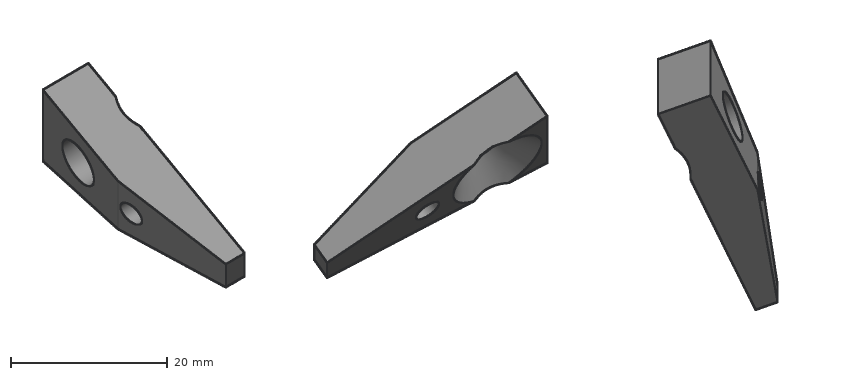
import cadquery as cq

length = 33.6
thickness = 7.25
root_height = 14.8
tip_height = 4.8
tip_thickness = 3.02
flat_length = 16.13

large_hole_x = 7.6
large_hole_diameter = 6.8
small_hole_x = 18.28
small_hole_diameter = 3.5

countersink_diameter = 13.47
countersink_depth = 4.03


def tapered_body():
    """Intersect the side taper with the thickness profile."""
    side_taper = (
        cq.Workplane("XZ")
        .polyline([
            (0, -root_height / 2),
            (length, -tip_height / 2),
            (length, tip_height / 2),
            (0, root_height / 2),
        ])
        .close()
        .extrude(thickness)
    )
    thickness_profile = (
        cq.Workplane("XY")
        .polyline([
            (0, 0),
            (length, 0),
            (length, -tip_thickness),
            (flat_length, -thickness),
            (0, -thickness),
        ])
        .close()
        .extrude(root_height / 2, both=True)
    )
    return side_taper.intersect(thickness_profile)


def through_hole(x, diameter):
    """Cylinder along Y spanning the full thickness."""
    return cq.Workplane("XZ").center(x, 0).circle(diameter / 2).extrude(thickness)


def back_countersink():
    """Cone narrowing from the back face down to the large hole."""
    return (
        cq.Workplane("XZ")
        .center(large_hole_x, 0)
        .circle(countersink_diameter / 2)
        .workplane(offset=countersink_depth)
        .circle(large_hole_diameter / 2)
        .loft(ruled=True)
    )


result = (
    tapered_body()
    .cut(through_hole(large_hole_x, large_hole_diameter))
    .cut(through_hole(small_hole_x, small_hole_diameter))
    .cut(back_countersink())
)